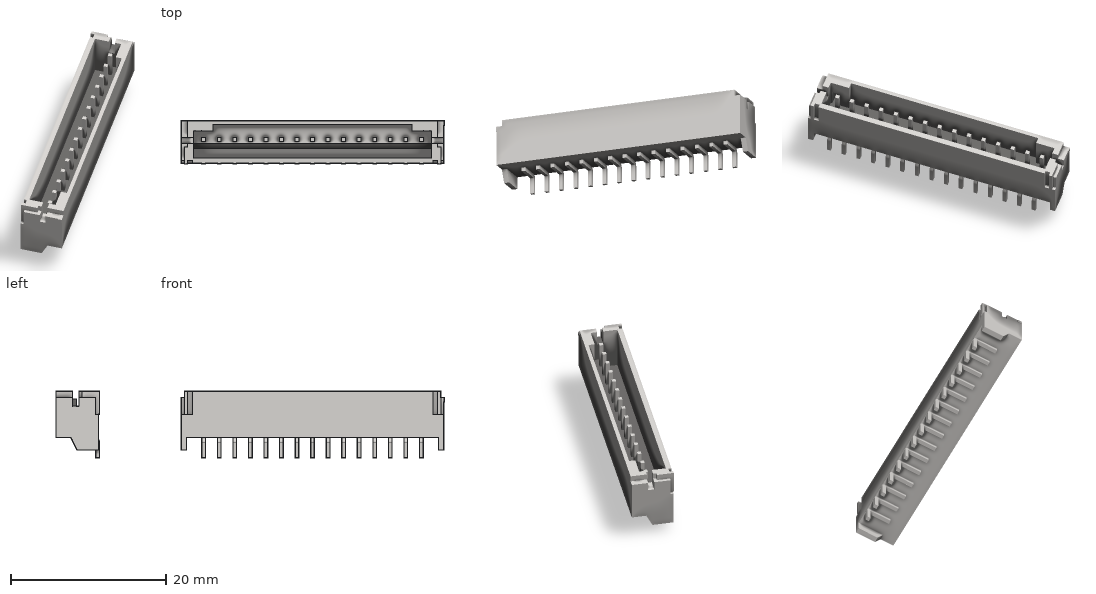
import cadquery as cq


pin_count = 15
pin_pitch = 2.0
pin_size = 0.5
pin_top_z = -1.0
pin_foot_z = -8.6
pin_bend_radius = 0.6
pin_overhang = 0.1
contact_rear_y = 3.35

end_margin = 2.9
body_length = (pin_count - 1) * pin_pitch + 2 * end_margin
body_depth = 5.5
body_bottom_z = -6.0
half_length = body_length / 2

cheek_width = 0.7
cheek_bottom_z = -7.6
cheek_slope_bottom_y = 2.8
cheek_slope_top_y = 3.6

end_wall = 1.6
front_wall = 0.7
rear_wall = 0.5
key_length = 2.5
key_depth = 0.8
pin_floor_z = -4.4
floor_step_bottom_y = 1.93
floor_step_top_y = 2.55
cheek_slope = (body_bottom_z - cheek_bottom_z) / (cheek_slope_top_y - cheek_slope_bottom_y)
front_floor_z = pin_floor_z - cheek_slope * (floor_step_top_y - floor_step_bottom_y)

recess_offset = 0.2
recess_width = 0.8
recess_top_z = -2.0

slot_front_y = floor_step_top_y
slot_rear_y = contact_rear_y
slot_floor_z = -1.95
ledge_z = -0.8
ledge_width = 0.8
narrow_ledge_width = 0.4
wide_ledge_front_y = 2.13

corner_floor_z = -3.0
corner_depth = 0.4
groove_width = 0.63
post_overhang = 0.1

nub_thickness = 0.06
nub_size = 0.6


def box(x0, x1, y0, y1, z0, z1):
    """Axis-aligned box between two opposite corners."""
    return cq.Workplane("XY").box(x1 - x0, y1 - y0, z1 - z0, centered=False).translate((x0, y0, z0))


def side_extrusion(outline, x0, x1):
    """Closed (Y, Z) outline extruded along X from x0 to x1."""
    return cq.Workplane("YZ").polyline(outline).close().extrude(x1 - x0).translate((x0, 0, 0))


def both_ends(left_shape):
    """A shape at the -X end together with its mirror image at the +X end."""
    return left_shape.union(left_shape.mirror("YZ"))


def make_block():
    return box(-half_length, half_length, 0, body_depth, body_bottom_z, 0)


def make_cheeks():
    outline = [
        (0, body_bottom_z),
        (0, cheek_bottom_z),
        (cheek_slope_bottom_y, cheek_bottom_z),
        (cheek_slope_top_y, body_bottom_z),
    ]
    return both_ends(side_extrusion(outline, -half_length, -half_length + cheek_width))


def make_cavity():
    """Open-topped cavity with a sloped floor step, less a key block at each rear corner."""
    cavity_half = half_length - end_wall
    cavity_rear_y = body_depth - rear_wall
    outline = [
        (front_wall, 0),
        (front_wall, front_floor_z),
        (floor_step_bottom_y, front_floor_z),
        (floor_step_top_y, pin_floor_z),
        (cavity_rear_y, pin_floor_z),
        (cavity_rear_y, 0),
    ]
    cavity = side_extrusion(outline, -cavity_half, cavity_half)
    key = box(
        -cavity_half, -cavity_half + key_length,
        cavity_rear_y - key_depth, cavity_rear_y,
        pin_floor_z, 0,
    )
    recess_x = -cavity_half + recess_offset
    recess = box(
        recess_x, recess_x + recess_width,
        cavity_rear_y - key_depth, cavity_rear_y,
        pin_floor_z, recess_top_z,
    )
    return cavity.cut(both_ends(key.cut(recess)))


def make_end_cuts():
    """Slot through the end wall and the lowered ledges on its outer side."""
    left = -half_length
    slot = box(left, left + end_wall, slot_front_y, slot_rear_y, slot_floor_z, 0)
    wide_ledge = box(left, left + ledge_width, wide_ledge_front_y, body_depth, ledge_z, 0)
    narrow_ledge = box(left, left + narrow_ledge_width, 0, wide_ledge_front_y, ledge_z, 0)
    return both_ends(slot.union(wide_ledge).union(narrow_ledge))


def make_corner_cuts():
    """Corner relief and vertical groove that leave a slim post between them."""
    left = -half_length
    groove_x = left + ledge_width
    relief = box(left, left + narrow_ledge_width, 0, corner_depth, corner_floor_z, 0)
    groove = box(groove_x, groove_x + groove_width, 0, corner_depth, corner_floor_z, 0)
    return both_ends(relief.union(groove))


def make_post_faces():
    """Front part of each post, standing proud of the front wall."""
    left = -half_length
    return both_ends(
        box(left + narrow_ledge_width, left + ledge_width, -post_overhang, corner_depth, corner_floor_z, 0)
    )


def make_nub():
    return box(
        half_length, half_length + nub_thickness,
        body_depth - nub_size, body_depth,
        ledge_z - nub_size, ledge_z,
    )


def make_pin(x):
    """Square pin with an upright contact, run along the underside and bent down in front of the housing."""
    contact_front_y = contact_rear_y - pin_size
    foot_front_y = -pin_overhang
    inner_radius = pin_bend_radius - pin_size
    run_bottom_z = body_bottom_z - pin_size
    bend_y = foot_front_y + pin_bend_radius
    bend_z = body_bottom_z - pin_bend_radius
    profile = (
        cq.Workplane("YZ")
        .moveTo(contact_rear_y, pin_top_z)
        .lineTo(contact_rear_y, run_bottom_z)
        .lineTo(bend_y, run_bottom_z)
        .radiusArc((bend_y - inner_radius, bend_z), -inner_radius)
        .lineTo(foot_front_y + pin_size, pin_foot_z)
        .lineTo(foot_front_y, pin_foot_z)
        .lineTo(foot_front_y, bend_z)
        .radiusArc((bend_y, body_bottom_z), pin_bend_radius)
        .lineTo(contact_front_y, body_bottom_z)
        .lineTo(contact_front_y, pin_top_z)
        .close()
    )
    return profile.extrude(pin_size / 2, both=True).translate((x, 0, 0))


housing = make_block().union(make_cheeks())
housing = housing.cut(make_cavity()).cut(make_end_cuts()).cut(make_corner_cuts())
housing = housing.union(make_post_faces()).union(make_nub())

first_pin_x = -half_length + end_margin
result = housing
for index in range(pin_count):
    result = result.union(make_pin(first_pin_x + index * pin_pitch))